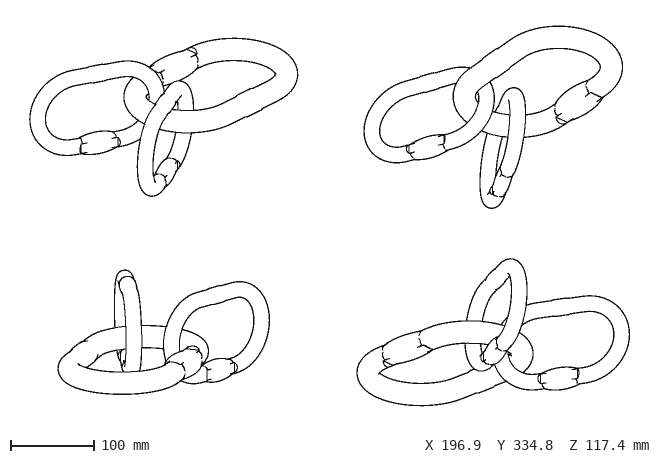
import cadquery as cq

MASTER_WIRE = 27.0
MASTER_INNER_WIDTH = 100.0
MASTER_STRAIGHT = 80.0
MASTER_COLLAR = 29.02
MASTER_COLLAR_LENGTH = 27.5
MASTER_BULGE_WIDTH = 37.1

SUB_WIRE = 19.0
SUB_INNER_WIDTH = 75.0
SUB_STRAIGHT = 60.0
SUB_COLLAR = 20.43
SUB_COLLAR_LENGTH = 20.6
SUB_BULGE_WIDTH = 26.3
SUB_TILT = 25.0
SUB_CENTRE_X = 56.43
SUB_CENTRE_Y = -138.54
SUB_CENTRE_Z = 2.0

COLLAR_TAPER_RATIO = 0.12
BULGE_HALF_LENGTH_RATIO = 1.15
BULGE_END_WIDTH_RATIO = 0.96
BULGE_THICKNESS_RATIO = 0.75
BULGE_ROUNDING_RATIO = 0.235
FLAT_HALF_LENGTH_RATIO = 1.37


def link_wire(wire, inner_width, straight):
    """Round bar bent into a long loop: two straight legs along Y and two half-circle bows."""
    leg_x = (inner_width + wire) / 2
    path = (
        cq.Workplane("XY")
        .moveTo(-leg_x, -straight / 2)
        .lineTo(-leg_x, straight / 2)
        .threePointArc((0, straight / 2 + leg_x), (leg_x, straight / 2))
        .lineTo(leg_x, -straight / 2)
        .threePointArc((0, -straight / 2 - leg_x), (-leg_x, -straight / 2))
        .close()
    )
    section = cq.Workplane("XZ", origin=(-leg_x, -straight / 2, 0)).circle(wire / 2)
    return section.sweep(path)


def weld_collar(wire, diameter, length):
    """Thicker sleeve around a leg, along Y, with its ends tapering down to the wire."""
    taper = COLLAR_TAPER_RATIO * wire
    half = length / 2
    return (
        cq.Workplane("XY")
        .moveTo(0, -half)
        .lineTo(wire / 2, -half)
        .lineTo(diameter / 2, taper - half)
        .lineTo(diameter / 2, half - taper)
        .lineTo(wire / 2, half)
        .lineTo(0, half)
        .close()
        .revolve(360, (0, 0, 0), (0, 1, 0))
    )


def tag_bulge(wire, width):
    """Lens-shaped swelling of a leg: curved sides, rounded over to two parallel flats."""
    half_length = BULGE_HALF_LENGTH_RATIO * wire
    end_half = BULGE_END_WIDTH_RATIO * wire / 2
    thickness = BULGE_THICKNESS_RATIO * wire
    return (
        cq.Workplane("XY")
        .workplane(offset=-thickness / 2)
        .moveTo(-end_half, -half_length)
        .threePointArc((-width / 2, 0), (-end_half, half_length))
        .lineTo(end_half, half_length)
        .threePointArc((width / 2, 0), (end_half, -half_length))
        .close()
        .extrude(thickness)
        .edges("%CIRCLE")
        .fillet(BULGE_ROUNDING_RATIO * wire)
    )


def flat_cutter(wire, width):
    """Trapezoidal bar that mills the upper flat into a leg, with 45 degree end walls."""
    bottom = BULGE_THICKNESS_RATIO * wire / 2
    depth = wire / 2 - bottom
    top_half = FLAT_HALF_LENGTH_RATIO * wire
    bottom_half = top_half - depth
    clearance = depth
    return (
        cq.Workplane("YZ")
        .moveTo(-bottom_half, bottom)
        .lineTo(bottom_half, bottom)
        .lineTo(top_half + clearance, wire / 2 + clearance)
        .lineTo(-top_half - clearance, wire / 2 + clearance)
        .close()
        .extrude(width / 2, both=True)
    )


def chain_link(wire, inner_width, straight, collar, collar_length, bulge_width):
    """Complete link in the XY plane: bulge on the -X leg, weld collar on the +X leg."""
    leg_x = (inner_width + wire) / 2
    cutter = flat_cutter(wire, bulge_width).translate((-leg_x, 0, 0))
    return (
        link_wire(wire, inner_width, straight)
        .union(weld_collar(wire, collar, collar_length).translate((leg_x, 0, 0)))
        .cut(cutter)
        .cut(cutter.mirror("XY"))
        .union(tag_bulge(wire, bulge_width).translate((-leg_x, 0, 0)))
        .solids()
    )


def sub_link(side):
    """Sub-link stood upright (bulge down), tilted outwards and hung on the given X side."""
    return (
        chain_link(
            SUB_WIRE, SUB_INNER_WIDTH, SUB_STRAIGHT, SUB_COLLAR, SUB_COLLAR_LENGTH, SUB_BULGE_WIDTH
        )
        .rotate((0, 0, 0), (0, 1, 0), -90)
        .rotate((0, 0, 0), (0, 0, 1), side * SUB_TILT)
        .translate((side * SUB_CENTRE_X, SUB_CENTRE_Y, SUB_CENTRE_Z))
    )


master_link = chain_link(
    MASTER_WIRE,
    MASTER_INNER_WIDTH,
    MASTER_STRAIGHT,
    MASTER_COLLAR,
    MASTER_COLLAR_LENGTH,
    MASTER_BULGE_WIDTH,
)
sub_links = [sub_link(side) for side in (-1, 1)]

result = cq.Compound.makeCompound([master_link.val(), *[link.val() for link in sub_links]])